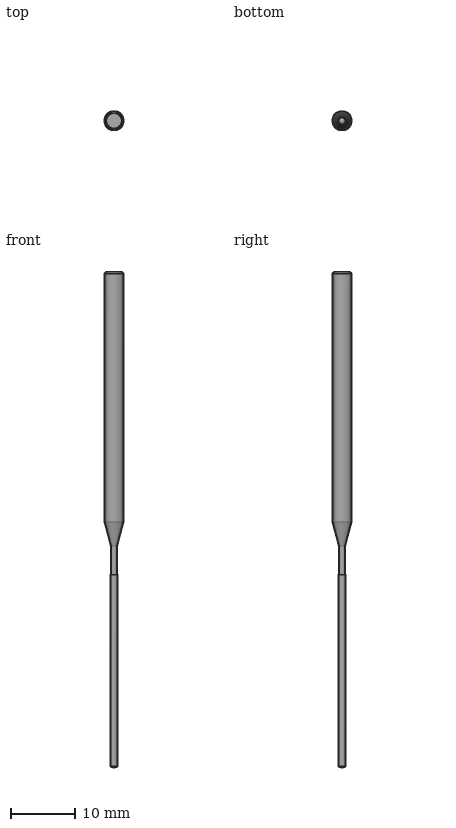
import cadquery as cq
import math

overall_length = 77.0
shank_radius = 1.5
shank_start = 38.2
shank_chamfer = 0.3

neck_radius = 0.5
taper_half_angle = 15.0
taper_length = (shank_radius - neck_radius) / math.tan(math.radians(taper_half_angle))
neck_end = shank_start - taper_length

cutter_radius = 0.58
cutter_length = 30.0
point_angle = 140.0
point_height = cutter_radius / math.tan(math.radians(point_angle / 2))

AXIS_START = (0, 0)
AXIS_END = (0, 1)


def make_shank():
    """Chamfered shank, taper and neck, turned from a half profile on the -Y side."""
    profile = (
        cq.Workplane("YZ")
        .moveTo(0, cutter_length)
        .lineTo(-neck_radius, cutter_length)
        .lineTo(-neck_radius, neck_end)
        .lineTo(-shank_radius, shank_start)
        .lineTo(-shank_radius, overall_length - shank_chamfer)
        .lineTo(-shank_radius + shank_chamfer, overall_length)
        .lineTo(0, overall_length)
        .close()
    )
    return profile.revolve(360, AXIS_START, AXIS_END)


def make_cutter():
    """Plain cutting cylinder with a conical drill point, turned from a half profile on the -X side."""
    profile = (
        cq.Workplane("XZ")
        .moveTo(0, 0)
        .lineTo(-cutter_radius, point_height)
        .lineTo(-cutter_radius, cutter_length)
        .lineTo(0, cutter_length)
        .close()
    )
    return profile.revolve(360, AXIS_START, AXIS_END)


shank = make_shank()
cutter = make_cutter()

result = cq.Compound.makeCompound([shank.val(), cutter.val()])